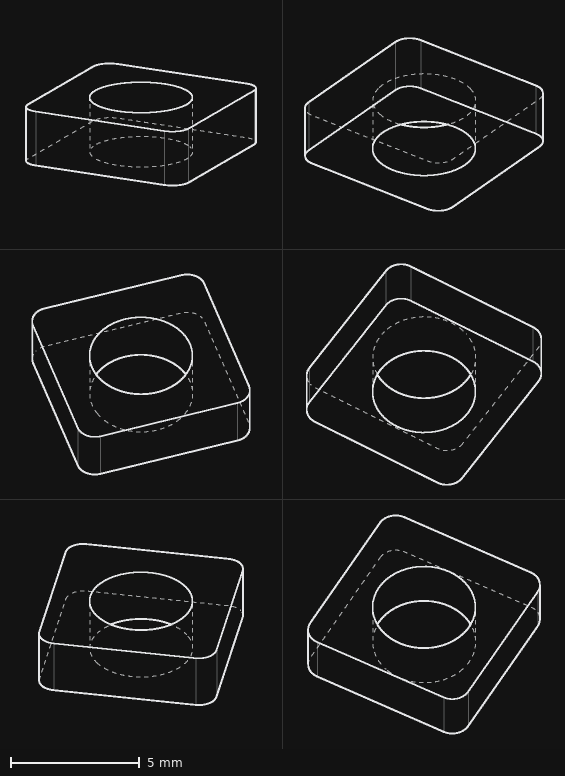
import cadquery as cq

side = 7.0
thickness = 2.2
corner_radius = 0.7
hole_diameter = 4.0

plate = cq.Workplane("XY").box(side, side, thickness)
rounded_plate = plate.edges("|Z").fillet(corner_radius)
result = rounded_plate.faces(">Z").workplane().hole(hole_diameter)